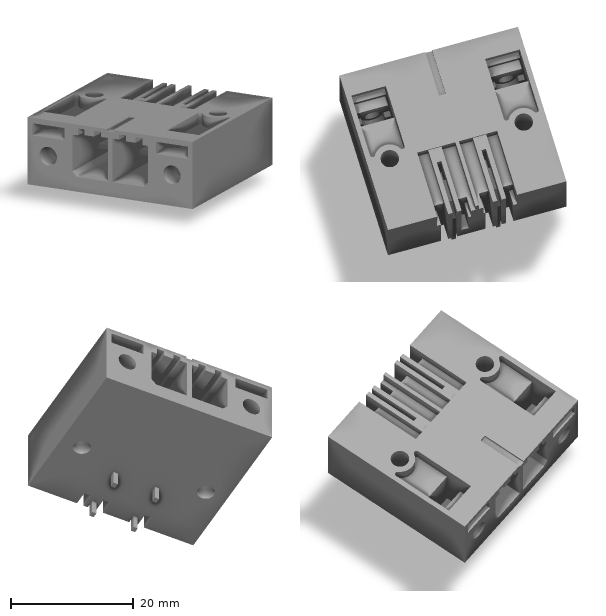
import cadquery as cq
import math

WIDTH = 30.48
DEPTH = 28.3
HEIGHT = 11.5
LEG_LENGTH = 2.5
BACK = DEPTH / 2
FRONT = -DEPTH / 2
SIDES = (-1, 1)

CONTACT_X = 3.8
SCREW_X = 11.43

CAVITY_DEPTH = 14.63
CAVITY_INNER_X = 0.43
CAVITY_OUTER_X = 6.98
CAVITY_FLOOR_Z = 2.53
CAVITY_CHAMFER = 0.85
OUTER_CEILING_Z = HEIGHT - 1.83
MIDDLE_CEILING_Z = HEIGHT - 1.62
INNER_CEILING_Z = HEIGHT - 1.5
KEYWAY_TOP_Z = HEIGHT - 0.65
INNER_KEYWAY_X = (1.68, 2.95)
OUTER_KEYWAY_X = (4.7, 5.95)

GROOVE_WIDTH = 1.15
GROOVE_LENGTH = 8.0
GROOVE_DEPTH = 0.4

CONTACT_THICKNESS = 0.75
BLADE_WIDTH = 4.57
BLADE_BOTTOM_Z = 5.43
BLADE_TIP_Y = FRONT + 7.62
PLATE_BACK_Y = BACK - 0.6
PLATE_STEP_Y = BACK - 6.7
PLATE_FRONT_Y = BACK - 9.27
PLATE_TOP_Z = 9.15
PLATE_CHAMFER = 2.25
LEG_DEPTH = 0.98
BLADE_TOP_Z = BLADE_BOTTOM_Z + CONTACT_THICKNESS

RECESS_INNER_X = 0.3
RECESS_OUTER_X = 6.83
RECESS_LENGTH = 11.7
RECESS_FLOOR_Z = HEIGHT - 1.65
RIB_WIDTH = 2.3
RIB_TOP_Z = HEIGHT - 0.25
SLOT_LENGTH = 2.6
SLOT_WIDTH = 4.75
STEPPED_SLOT_INNER_X = 1.05
STEPPED_SLOT_FLOOR_Z = 7.3
FILLER_FLAT_Z = 2.45
HOLLOW_WIDTH = 0.65
HOLLOW_RADIUS = 1.52

POCKET_WIDTH = 5.9
POCKET_FRONT_Y = BACK - 24.35
POCKET_STEP_Y = BACK - 19.42
POCKET_SHELF_Z = HEIGHT - 2.0
POCKET_EAR_RADIUS = 0.43
BOSS_RADIUS = 2.5
MOUNT_HOLE_Y = BACK - 11.95
MOUNT_HOLE_DIAMETER = 3.02
WINDOW_TOP_Z = HEIGHT - 0.9
WINDOW_BOTTOM_Z = HEIGHT - 3.02

SCREW_Z = 5.33
SCREW_HOLE_DIAMETER = 3.2
NUT_HOLE_DIAMETER = 2.5
NUT_WIDTH = 5.43
WELL_FRONT_Y = BACK - 24.08
NUT_FRONT_Y = BACK - 23.95
NOTCH_DIAMETER = 3.85
NUT_BACK_Y = BACK - 22.3
BULKHEAD_BACK_Y = BACK - 21.35
POCKET_FLOOR_Z = SCREW_Z - NUT_WIDTH / 2


def box(x_range, y_range, z_range):
    """Box between two limits along each axis, given in any order."""
    limits = [sorted(pair) for pair in (x_range, y_range, z_range)]
    size = [high - low for low, high in limits]
    corner = [low for low, high in limits]
    return cq.Workplane("XY").box(*size, centered=False).translate(tuple(corner))


def centred(middle, width):
    """Limits of a stretch with the given middle and width."""
    return (middle - width / 2, middle + width / 2)


def cylinder_along_y(x, z, diameter, front_y, back_y):
    """Cylinder parallel to Y between two Y positions."""
    plane = cq.Workplane("XZ", origin=(x, front_y, z))
    return plane.circle(diameter / 2).extrude(front_y - back_y)


def mirrored(points, side):
    """Outline of the +X half, flipped for the -X side."""
    return [(side * x, z) for x, z in points]


def make_mating_cavity(side):
    """Cavity with a chamfered outer floor edge and two keyways in its stepped ceiling."""
    outline = [
        (CAVITY_INNER_X, CAVITY_FLOOR_Z),
        (CAVITY_OUTER_X - CAVITY_CHAMFER, CAVITY_FLOOR_Z),
        (CAVITY_OUTER_X, CAVITY_FLOOR_Z + CAVITY_CHAMFER),
        (CAVITY_OUTER_X, OUTER_CEILING_Z),
        (OUTER_KEYWAY_X[1], OUTER_CEILING_Z),
        (OUTER_KEYWAY_X[1], KEYWAY_TOP_Z),
        (OUTER_KEYWAY_X[0], KEYWAY_TOP_Z),
        (OUTER_KEYWAY_X[0], MIDDLE_CEILING_Z),
        (INNER_KEYWAY_X[1], MIDDLE_CEILING_Z),
        (INNER_KEYWAY_X[1], KEYWAY_TOP_Z),
        (INNER_KEYWAY_X[0], KEYWAY_TOP_Z),
        (INNER_KEYWAY_X[0], INNER_CEILING_Z),
        (CAVITY_INNER_X, INNER_CEILING_Z),
    ]
    plane = cq.Workplane("XZ", origin=(0, FRONT, 0))
    return plane.polyline(mirrored(outline, side)).close().extrude(-CAVITY_DEPTH)


def make_groove():
    """Shallow groove that runs back from the front face."""
    return box(centred(0, GROOVE_WIDTH), (FRONT, FRONT + GROOVE_LENGTH), (HEIGHT - GROOVE_DEPTH, HEIGHT))


def make_back_recess(side):
    """Recess on both sides of a slotted rib, with a stepped slot down to the underside."""
    recess_x = (side * RECESS_INNER_X, side * RECESS_OUTER_X)
    stepped_slot_x = (side * STEPPED_SLOT_INNER_X, side * RECESS_OUTER_X)
    slot_y = (BACK - SLOT_LENGTH, BACK)
    rib_x = centred(side * CONTACT_X, RIB_WIDTH)
    recess = box(recess_x, (BACK - RECESS_LENGTH, BACK), (RECESS_FLOOR_Z, HEIGHT))
    stepped_slot = box(stepped_slot_x, slot_y, (STEPPED_SLOT_FLOOR_Z, HEIGHT))
    through_slot = box(centred(side * CONTACT_X, SLOT_WIDTH), slot_y, (0, HEIGHT))
    rib = box(rib_x, (BACK - RECESS_LENGTH, BACK), (0, RIB_TOP_Z))
    plate_slot = box(centred(side * CONTACT_X, CONTACT_THICKNESS), (PLATE_FRONT_Y, BACK), (0, HEIGHT))
    return recess.union(stepped_slot).union(through_slot).cut(rib).union(plate_slot)


def make_slot_filler():
    """Block with a hollow top edge that closes the inner half of the +X slot."""
    left_x = CONTACT_X - SLOT_WIDTH / 2
    right_x = CONTACT_X - RIB_WIDTH / 2
    hollow_end_x = left_x + HOLLOW_WIDTH
    hollow_angle = math.asin(HOLLOW_WIDTH / HOLLOW_RADIUS)
    arc_centre_z = FILLER_FLAT_Z + HOLLOW_RADIUS * math.cos(hollow_angle)
    middle_x = left_x + HOLLOW_RADIUS * math.sin(hollow_angle / 2)
    middle_z = arc_centre_z - HOLLOW_RADIUS * math.cos(hollow_angle / 2)
    return (
        cq.Workplane("XZ", origin=(0, BACK, 0))
        .moveTo(left_x, 0)
        .lineTo(right_x, 0)
        .lineTo(right_x, FILLER_FLAT_Z)
        .lineTo(hollow_end_x, FILLER_FLAT_Z)
        .threePointArc((middle_x, middle_z), (left_x, arc_centre_z - HOLLOW_RADIUS))
        .close()
        .extrude(SLOT_LENGTH)
    )


def make_pocket_shelf(screw_x):
    """Upper part of a nut pocket, whose two round ears reach around the boss of the mount hole."""
    wall_x = POCKET_WIDTH / 2
    ear_x = wall_x - POCKET_EAR_RADIUS
    ear_to_hole = BOSS_RADIUS + POCKET_EAR_RADIUS
    ear_y = -math.sqrt(ear_to_hole**2 - ear_x**2)
    tangent_x = ear_x * BOSS_RADIUS / ear_to_hole
    tangent_y = ear_y * BOSS_RADIUS / ear_to_hole
    step_y = POCKET_STEP_Y - MOUNT_HOLE_Y
    return (
        cq.Workplane("XY", origin=(screw_x, MOUNT_HOLE_Y, POCKET_SHELF_Z))
        .moveTo(-wall_x, step_y)
        .lineTo(-wall_x, ear_y)
        .threePointArc((-ear_x, ear_y + POCKET_EAR_RADIUS), (-tangent_x, tangent_y))
        .threePointArc((0, -BOSS_RADIUS), (tangent_x, tangent_y))
        .threePointArc((ear_x, ear_y + POCKET_EAR_RADIUS), (wall_x, ear_y))
        .lineTo(wall_x, step_y)
        .close()
        .extrude(HEIGHT - POCKET_SHELF_Z)
    )


def make_nut_pocket(side):
    """Pocket with a raised shelf, a notched bulkhead and a window in the front face."""
    screw_x = side * SCREW_X
    pocket_x = centred(screw_x, POCKET_WIDTH)
    well = box(pocket_x, (WELL_FRONT_Y, POCKET_STEP_Y), (POCKET_FLOOR_Z, HEIGHT))
    bulkhead = box(pocket_x, (NUT_BACK_Y, BULKHEAD_BACK_Y), (POCKET_FLOOR_Z, SCREW_Z))
    notch = cylinder_along_y(screw_x, SCREW_Z, NOTCH_DIAMETER, NUT_BACK_Y, BULKHEAD_BACK_Y)
    front_ledge = box(pocket_x, (POCKET_FRONT_Y, WELL_FRONT_Y), (WINDOW_BOTTOM_Z, HEIGHT))
    window = box(pocket_x, (FRONT, POCKET_FRONT_Y), (WINDOW_BOTTOM_Z, WINDOW_TOP_Z))
    pocket = well.cut(bulkhead).union(notch)
    return pocket.union(make_pocket_shelf(screw_x)).union(front_ledge).union(window)


def make_mount_hole(side):
    """Vertical through hole behind the nut pocket."""
    plane = cq.Workplane("XY").center(side * SCREW_X, MOUNT_HOLE_Y)
    return plane.circle(MOUNT_HOLE_DIAMETER / 2).extrude(HEIGHT)


def make_screw_hole(side):
    """Hole from the front face into the nut pocket."""
    return cylinder_along_y(side * SCREW_X, SCREW_Z, SCREW_HOLE_DIAMETER, FRONT, WELL_FRONT_Y)


def make_contact(side):
    """Contact with its blade in the cavity and its plate in the slot of the rib."""
    contact_x = side * CONTACT_X
    plate_outline = [
        (PLATE_FRONT_Y, 0),
        (PLATE_BACK_Y, 0),
        (PLATE_BACK_Y, PLATE_TOP_Z - PLATE_CHAMFER),
        (PLATE_BACK_Y - PLATE_CHAMFER, PLATE_TOP_Z),
        (PLATE_STEP_Y, PLATE_TOP_Z),
        (PLATE_STEP_Y, BLADE_TOP_Z),
        (PLATE_FRONT_Y, BLADE_TOP_Z),
    ]
    plate = cq.Workplane("YZ", origin=(contact_x, 0, 0)).polyline(plate_outline).close()
    contact = plate.extrude(CONTACT_THICKNESS / 2, both=True)
    blade_z = (BLADE_BOTTOM_Z, BLADE_TOP_Z)
    contact = contact.union(box(centred(contact_x, BLADE_WIDTH), (BLADE_TIP_Y, PLATE_FRONT_Y), blade_z))
    for leg_y in ((PLATE_FRONT_Y, PLATE_FRONT_Y + LEG_DEPTH), (PLATE_BACK_Y - LEG_DEPTH, PLATE_BACK_Y)):
        leg = box(centred(contact_x, CONTACT_THICKNESS), leg_y, (-LEG_LENGTH, 0))
        contact = contact.union(leg)
    return contact


def make_nut(side):
    """Square nut with a hole right through."""
    screw_x = side * SCREW_X
    plate = box(centred(screw_x, NUT_WIDTH), (NUT_FRONT_Y, NUT_BACK_Y), centred(SCREW_Z, NUT_WIDTH))
    return plate.cut(cylinder_along_y(screw_x, SCREW_Z, NUT_HOLE_DIAMETER, NUT_FRONT_Y, NUT_BACK_Y))


def make_housing(contacts):
    """Housing block with every recess, and slots that match the contacts."""
    housing = box(centred(0, WIDTH), (FRONT, BACK), (0, HEIGHT)).cut(make_groove())
    recess_makers = (
        make_mating_cavity,
        make_back_recess,
        make_nut_pocket,
        make_mount_hole,
        make_screw_hole,
    )
    for side in SIDES:
        for make_recess in recess_makers:
            housing = housing.cut(make_recess(side))
    housing = housing.union(make_slot_filler())
    for contact in contacts:
        housing = housing.cut(contact)
    return housing


contacts = [make_contact(side) for side in SIDES]
nuts = [make_nut(side) for side in SIDES]
housing = make_housing(contacts)

result = cq.Compound.makeCompound([housing.val(), *[body.val() for body in contacts + nuts]])